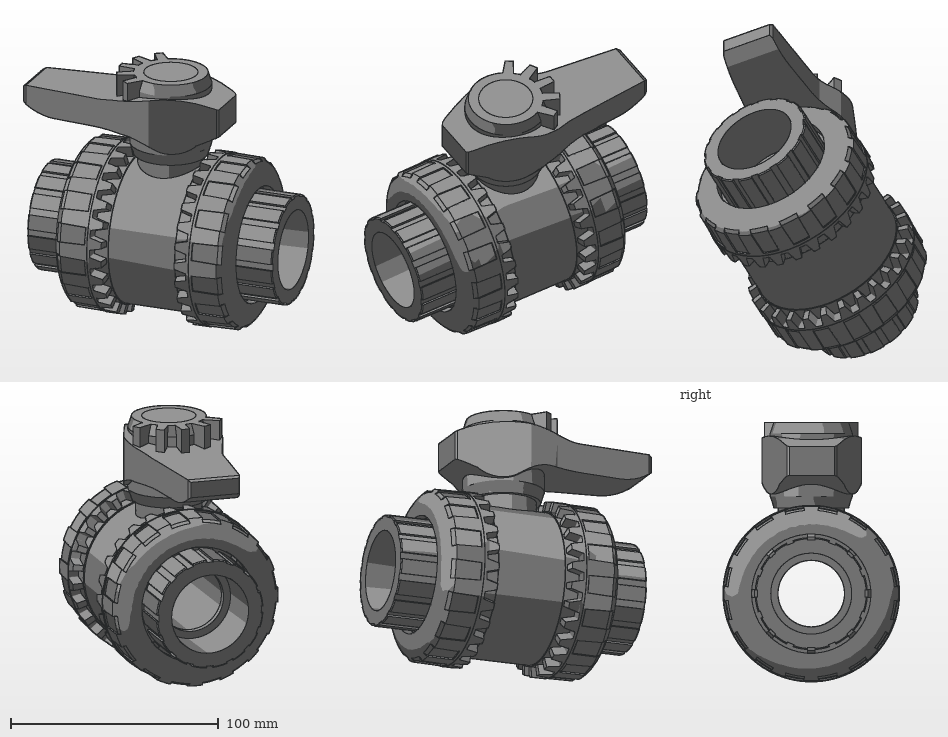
import cadquery as cq
import math


BORE_DIA = 32.0
BARREL_DIA = 74.0
COLLAR_DIA = 75.3
COLLAR_INNER_X = 17.3
HOUSING_END_X = 32.5
NECK_DIA = 32.0
NECK_TOP_Z = 41.2

CONNECTOR_DIA = 54.0
CONNECTOR_END_X = 63.6
CONNECTOR_EDGE_CHAMFER = 0.5
SOCKET_DIA = 39.0
SOCKET_DEPTH = 27.8
FLANGE_DIA = 67.3
FLANGE_THICKNESS = 8.1
FLANGE_FACE_X = HOUSING_END_X + FLANGE_THICKNESS
GROOVE_COUNT = 16
GROOVE_WIDTH = 3.4
GROOVE_DEPTH = 1.1
NOTCH_COUNT = 8
NOTCH_WIDTH = 3.8
NOTCH_INNER_RADIUS = 27.4
NOTCH_DEPTH = 1.6

NUT_FACE_X = 45.6
NUT_OPENING_DIA = 57.4
NUT_FACE_DIA = 63.5
NUT_SHOULDER_X = 40.8
NUT_SHOULDER_RADIUS = 42.0
NUT_ROUND_X = 44.0
NUT_ROUND_RADIUS = 38.2
NUT_CONE_RADIUS = 42.2
GEAR_RADIUS = 42.5
GEAR_START_X = 26.4
GEAR_TIP_X = 19.0
GEAR_INNER_X = 18.1
GRIP_COUNT = 16
GRIP_FACE_WIDTH = 9.5
GRIP_END_WIDTH = 8.5
GRIP_DEPTH = 0.8
GRIP_RUNOUT_X = 42.2
GRIP_RUNOUT_RADIUS = 40.3
GRIP_END_X = 27.8
GAP_COUNT = 27
GAP_ROOT_X = 24.4
GAP_ROOT_WIDTH = 2.7
GAP_MOUTH_WIDTH = 6.4
GAP_WALL_TAPER = 7.0

HUB_DIA = 39.5
SKIRT_BOTTOM_DIA = 36.0
SKIRT_TOP_Z = 46.7
LEVER_OFFSET_Y = 0.3
LEVER_TIP_X = -71.8
LEVER_TIP_HALF_WIDTH = 13.1
LEVER_TOP_Z = 70.0
LEVER_BOTTOM_Z = 55.5
LEVER_TIP_BOTTOM_Z = 61.3
LEVER_NOSE_X = 29.4
LEVER_NOSE_TOP_Z = 70.8
LEVER_NOSE_BOTTOM_Z = 56.9
LEVER_ARM_END_X = -34.7
LEVER_ARM_END_HALF_WIDTH = 16.8
LEVER_RISE_X = -33.5
TIP_CHAMFER_LENGTH = 1.6
TIP_CHAMFER_DEPTH = 1.0
HANDLE_TOP_Z = 82.5
HUB_TOP_DIA = 36.0
HUB_TAPER_Z = 77.0
KEY_TOOTH_COUNT = 5
KEY_TOOTH_STEP = 27.4
KEY_TIP_RADIUS = 26.1
KEY_TIP_WIDTH = 4.0
KEY_ROOT_RADIUS = 17.6
KEY_ROOT_WIDTH = 5.3

PLUG_DIA = 26.1
PLUG_DEPTH = 2.7


def revolved_about_pipe(profile):
    """Revolve an XY profile about the X axis."""
    return profile.close().revolve(360, (0, 0, 0), (1, 0, 0))


def turned(shape, angle):
    """Turn a shape about the pipe axis; positive angles go from +Z towards -Y."""
    return shape.rotate((0, 0, 0), (1, 0, 0), angle)


def pipe_cylinder(dia, x_start, x_end):
    return cq.Workplane("YZ", origin=(x_start, 0, 0)).circle(dia / 2).extrude(x_end - x_start)


def make_housing():
    barrel = pipe_cylinder(BARREL_DIA, -COLLAR_INNER_X, COLLAR_INNER_X)
    for side in (-1, 1):
        barrel = barrel.union(pipe_cylinder(COLLAR_DIA, side * COLLAR_INNER_X, side * HOUSING_END_X))
    neck = cq.Workplane("XY").circle(NECK_DIA / 2).extrude(NECK_TOP_Z)
    bore = pipe_cylinder(BORE_DIA, -HOUSING_END_X, HOUSING_END_X)
    return barrel.union(neck).cut(bore)


def make_connector():
    tube = pipe_cylinder(CONNECTOR_DIA, -CONNECTOR_END_X, -HOUSING_END_X)
    tube = tube.faces("<X").chamfer(CONNECTOR_EDGE_CHAMFER)

    groove_length = CONNECTOR_END_X - FLANGE_FACE_X
    groove = (
        cq.Workplane("XY", origin=(-CONNECTOR_END_X, 0, CONNECTOR_DIA / 2))
        .box(groove_length, GROOVE_WIDTH, 2 * GROOVE_DEPTH, centered=(False, True, True))
    )
    for i in range(GROOVE_COUNT):
        tube = tube.cut(turned(groove, i * 360 / GROOVE_COUNT))

    flange = pipe_cylinder(FLANGE_DIA, -FLANGE_FACE_X, -HOUSING_END_X)
    notch_outer_radius = NUT_OPENING_DIA / 2
    notch = (
        cq.Workplane("XZ", origin=(0, NOTCH_WIDTH / 2, 0))
        .moveTo(-FLANGE_FACE_X, NOTCH_INNER_RADIUS)
        .lineTo(-FLANGE_FACE_X, notch_outer_radius)
        .lineTo(-FLANGE_FACE_X + NOTCH_DEPTH, notch_outer_radius)
        .close()
        .extrude(NOTCH_WIDTH)
    )
    for i in range(NOTCH_COUNT):
        flange = flange.cut(turned(notch, i * 360 / NOTCH_COUNT))

    socket = pipe_cylinder(SOCKET_DIA, -CONNECTOR_END_X, -CONNECTOR_END_X + SOCKET_DEPTH)
    bore = pipe_cylinder(BORE_DIA, -CONNECTOR_END_X, -HOUSING_END_X)
    return tube.union(flange).cut(bore).cut(socket)


def make_nut_blank():
    profile = (
        cq.Workplane("XY")
        .moveTo(-NUT_FACE_X, NUT_OPENING_DIA / 2)
        .lineTo(-NUT_FACE_X, NUT_FACE_DIA / 2)
        .threePointArc((-NUT_ROUND_X, NUT_ROUND_RADIUS), (-NUT_SHOULDER_X, NUT_SHOULDER_RADIUS))
        .lineTo(-GEAR_START_X, NUT_CONE_RADIUS)
        .lineTo(-GEAR_START_X, GEAR_RADIUS)
        .lineTo(-GEAR_TIP_X, GEAR_RADIUS)
        .lineTo(-GEAR_INNER_X, COLLAR_DIA / 2)
        .lineTo(-HOUSING_END_X, COLLAR_DIA / 2)
        .lineTo(-HOUSING_END_X, FLANGE_DIA / 2)
        .lineTo(-FLANGE_FACE_X, FLANGE_DIA / 2)
        .lineTo(-FLANGE_FACE_X, NUT_OPENING_DIA / 2)
    )
    return revolved_about_pipe(profile)


def make_grip_recess():
    """Shallow tapered recess following the nut's cone, open towards the nut face, at +Z."""
    shoulder_floor = NUT_SHOULDER_RADIUS - GRIP_DEPTH
    end_floor = NUT_CONE_RADIUS - GRIP_DEPTH
    dip = (shoulder_floor - GRIP_RUNOUT_RADIUS) / (GRIP_RUNOUT_X - NUT_SHOULDER_X)
    face_floor = shoulder_floor - dip * (NUT_FACE_X - NUT_SHOULDER_X)
    clear_radius = GEAR_RADIUS + GRIP_DEPTH
    profile = (
        cq.Workplane("XY")
        .moveTo(-NUT_FACE_X, face_floor)
        .lineTo(-NUT_SHOULDER_X, shoulder_floor)
        .lineTo(-GRIP_END_X, end_floor)
        .lineTo(-GRIP_END_X, clear_radius)
        .lineTo(-NUT_FACE_X, clear_radius)
    )
    wedge = (
        cq.Workplane("XY")
        .polyline([
            (-NUT_FACE_X, -GRIP_FACE_WIDTH / 2),
            (-GRIP_END_X, -GRIP_END_WIDTH / 2),
            (-GRIP_END_X, GRIP_END_WIDTH / 2),
            (-NUT_FACE_X, GRIP_FACE_WIDTH / 2),
        ])
        .close()
        .extrude(clear_radius)
    )
    return revolved_about_pipe(profile).intersect(wedge)


def make_tooth_gap():
    """Tapered radial gap between two gear teeth, at +Z; its floor lies just inside the collar."""
    floor_radius = math.sqrt((COLLAR_DIA / 2) ** 2 - (GAP_MOUTH_WIDTH / 2) ** 2)
    return (
        cq.Workplane("XY", origin=(0, 0, floor_radius))
        .polyline([
            (-GAP_ROOT_X, -GAP_ROOT_WIDTH / 2),
            (-COLLAR_INNER_X, -GAP_MOUTH_WIDTH / 2),
            (-COLLAR_INNER_X, GAP_MOUTH_WIDTH / 2),
            (-GAP_ROOT_X, GAP_ROOT_WIDTH / 2),
        ])
        .close()
        .extrude(GEAR_RADIUS - floor_radius, taper=-GAP_WALL_TAPER)
    )


def make_nut():
    nut = make_nut_blank()
    recess = make_grip_recess()
    grip_pitch = 360 / GRIP_COUNT
    for i in range(GRIP_COUNT):
        nut = nut.cut(turned(recess, (i + 0.5) * grip_pitch))
    gap = make_tooth_gap()
    for i in range(GAP_COUNT):
        nut = nut.cut(turned(gap, 90 + i * 360 / GAP_COUNT))
    return nut


def make_lever():
    """Lever: its outline from above, limited by its outline from the side."""
    waist_middle = (-26.5, 18.4)
    waist_end = (-19.6, 21.0)
    shoulder_middle = (-14.6, 22.9)
    shoulder_end = (-9.5, 23.8)
    widest_middle = (-5.7, 24.0)
    widest_end = (-2.0, 23.3)
    nose_start = (26.5, 13.1)
    nose_middle = (28.6, 12.0)
    nose_half_width = 10.8
    half_plan = (
        cq.Workplane("XY")
        .moveTo(LEVER_TIP_X, 0)
        .lineTo(LEVER_TIP_X, LEVER_TIP_HALF_WIDTH - TIP_CHAMFER_DEPTH)
        .lineTo(LEVER_TIP_X + TIP_CHAMFER_LENGTH, LEVER_TIP_HALF_WIDTH)
        .lineTo(LEVER_ARM_END_X, LEVER_ARM_END_HALF_WIDTH)
        .threePointArc(waist_middle, waist_end)
        .threePointArc(shoulder_middle, shoulder_end)
        .threePointArc(widest_middle, widest_end)
        .lineTo(*nose_start)
        .lineTo(*nose_middle)
        .lineTo(LEVER_NOSE_X, nose_half_width)
        .lineTo(LEVER_NOSE_X, 0)
        .close()
        .extrude(HANDLE_TOP_Z)
    )
    plan = half_plan.union(half_plan.mirror("XZ"))
    width = 2 * HUB_DIA
    rise_middle = (-29.9, 70.1)
    rise_end = (-26.5, 70.7)
    chin = (19.6, 52.5)
    keel_start_x = -55.1
    keel_middle = (-64.3, 57.3)
    crown = [(-9.2, 74.2), (7.5, 75.8), (16.2, 74.9), (LEVER_NOSE_X, LEVER_NOSE_TOP_Z)]
    belly = [(13.3, 48.7), (8.4, 47.9), (2.5, 49.0), (-2.2, 51.6), (-9.5, 54.7), (-16.2, LEVER_BOTTOM_Z)]
    side = (
        cq.Workplane("XZ", origin=(0, width / 2, 0))
        .moveTo(LEVER_TIP_X, LEVER_TIP_BOTTOM_Z)
        .lineTo(LEVER_TIP_X, LEVER_TOP_Z - TIP_CHAMFER_DEPTH)
        .lineTo(LEVER_TIP_X + TIP_CHAMFER_LENGTH, LEVER_TOP_Z)
        .lineTo(LEVER_RISE_X, LEVER_TOP_Z)
        .threePointArc(rise_middle, rise_end)
        .spline(crown, includeCurrent=True)
        .lineTo(LEVER_NOSE_X, LEVER_NOSE_BOTTOM_Z)
        .lineTo(*chin)
        .spline(belly, includeCurrent=True)
        .lineTo(keel_start_x, LEVER_BOTTOM_Z)
        .threePointArc(keel_middle, (LEVER_TIP_X, LEVER_TIP_BOTTOM_Z))
        .close()
        .extrude(width)
    )
    return plan.translate((0, LEVER_OFFSET_Y, 0)).intersect(side)


def make_hub():
    """Round core of the handle, from the skirt on the neck to the tapered top."""
    return (
        cq.Workplane("XZ")
        .moveTo(0, NECK_TOP_Z)
        .lineTo(SKIRT_BOTTOM_DIA / 2, NECK_TOP_Z)
        .lineTo(HUB_DIA / 2, SKIRT_TOP_Z)
        .lineTo(HUB_DIA / 2, HUB_TAPER_Z)
        .lineTo(HUB_TOP_DIA / 2, HANDLE_TOP_Z)
        .lineTo(0, HANDLE_TOP_Z)
        .close()
        .revolve(360, (0, 0, 0), (0, 1, 0))
    )


def make_key_tooth():
    """Tooth pointing to -X that turns the union nuts; it reaches down into the lever."""
    return (
        cq.Workplane("XY", origin=(0, 0, LEVER_TOP_Z))
        .polyline([
            (-KEY_TIP_RADIUS, -KEY_TIP_WIDTH / 2),
            (-KEY_TIP_RADIUS, KEY_TIP_WIDTH / 2),
            (-KEY_ROOT_RADIUS, KEY_ROOT_WIDTH / 2),
            (0, KEY_ROOT_WIDTH / 2),
            (0, -KEY_ROOT_WIDTH / 2),
            (-KEY_ROOT_RADIUS, -KEY_ROOT_WIDTH / 2),
        ])
        .close()
        .extrude(HANDLE_TOP_Z - LEVER_TOP_Z)
    )


def make_plug():
    return cq.Workplane("XY", origin=(0, 0, HANDLE_TOP_Z)).circle(PLUG_DIA / 2).extrude(-PLUG_DEPTH)


def make_handle():
    handle = make_hub().union(make_lever())
    tooth = make_key_tooth()
    for i in range(KEY_TOOTH_COUNT):
        angle = (i - (KEY_TOOTH_COUNT - 1) / 2) * KEY_TOOTH_STEP
        handle = handle.union(tooth.rotate((0, 0, 0), (0, 0, 1), angle))
    return handle.cut(make_plug())


housing = make_housing()
handle = make_handle()
plug = make_plug()

connector = make_connector()
nut = make_nut()
pipe_fittings = []
for fitting in (connector, nut):
    pipe_fittings.append(fitting.val())
    pipe_fittings.append(fitting.rotate((0, 0, 0), (0, 0, 1), 180).val())

result = cq.Compound.makeCompound([housing.val(), handle.val(), plug.val(), *pipe_fittings])